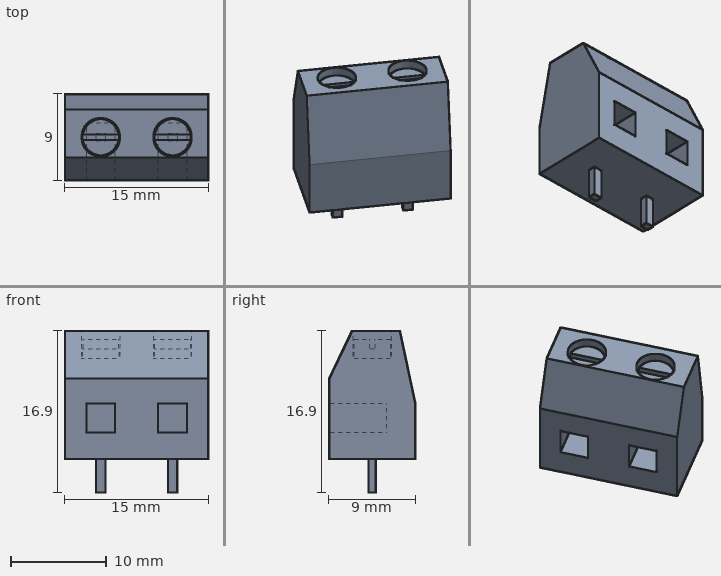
import cadquery as cq


POLE_COUNT = 2
POLE_PITCH = 7.5

HOUSING_LENGTH = POLE_COUNT * POLE_PITCH
HOUSING_DEPTH = 9.0
HOUSING_HEIGHT = 13.4
FRONT_SLOPE_RUN = 2.4
FRONT_SLOPE_DROP = 5.0
BACK_SLOPE_RUN = 1.6
BACK_SLOPE_DROP = 7.5

WIRE_OPENING_SIZE = 3.0
WIRE_OPENING_BOTTOM = 2.8
WIRE_OPENING_DEPTH = 6.0

WELL_DIAMETER = 4.0
SCREW_DIAMETER = 3.8
SCREW_HEIGHT = 2.0
SCREW_RECESS = 0.9
WELL_DEPTH = SCREW_RECESS + SCREW_HEIGHT
SLOT_WIDTH = 0.6
SLOT_DEPTH = 1.0

PIN_WIDTH = 1.0
PIN_THICKNESS = 0.8
PIN_LENGTH = 3.5

FRONT_Y = -HOUSING_DEPTH / 2
BACK_Y = HOUSING_DEPTH / 2
POLE_POSITIONS = [(i - (POLE_COUNT - 1) / 2) * POLE_PITCH for i in range(POLE_COUNT)]


def make_housing():
    """Sloped block with a screw well and a wire opening for each pole."""
    profile = [
        (FRONT_Y, 0),
        (BACK_Y, 0),
        (BACK_Y, HOUSING_HEIGHT - BACK_SLOPE_DROP),
        (BACK_Y - BACK_SLOPE_RUN, HOUSING_HEIGHT),
        (FRONT_Y + FRONT_SLOPE_RUN, HOUSING_HEIGHT),
        (FRONT_Y, HOUSING_HEIGHT - FRONT_SLOPE_DROP),
    ]
    block = cq.Workplane("YZ").polyline(profile).close().extrude(HOUSING_LENGTH / 2, both=True)
    for x in POLE_POSITIONS:
        block = block.cut(make_well(x)).cut(make_wire_opening(x))
    return block


def make_well(x):
    """Volume of the round well around one screw, open at the top."""
    floor = cq.Workplane("XY", origin=(x, 0, HOUSING_HEIGHT - WELL_DEPTH))
    return floor.circle(WELL_DIAMETER / 2).extrude(WELL_DEPTH)


def make_wire_opening(x):
    """Volume of one blind square wire opening, entering from the front face."""
    return cq.Workplane("XY", origin=(x, FRONT_Y, WIRE_OPENING_BOTTOM)).box(
        WIRE_OPENING_SIZE, WIRE_OPENING_DEPTH, WIRE_OPENING_SIZE, centered=(True, False, False)
    )


def make_screw(x):
    """Cylindrical screw with a driver slot along X across its top."""
    top_z = HOUSING_HEIGHT - SCREW_RECESS
    body = cq.Workplane("XY", origin=(x, 0, top_z - SCREW_HEIGHT))
    body = body.circle(SCREW_DIAMETER / 2).extrude(SCREW_HEIGHT)
    slot = cq.Workplane("XY", origin=(x, 0, top_z - SLOT_DEPTH)).box(
        SCREW_DIAMETER, SLOT_WIDTH, SLOT_DEPTH, centered=(True, True, False)
    )
    return body.cut(slot)


def make_pin(x):
    """Flat solder pin hanging from the underside of the housing."""
    return cq.Workplane("XY", origin=(x, 0, -PIN_LENGTH)).box(
        PIN_WIDTH, PIN_THICKNESS, PIN_LENGTH, centered=(True, True, False)
    )


housing = make_housing()
screws = [make_screw(x) for x in POLE_POSITIONS]
pins = [make_pin(x) for x in POLE_POSITIONS]

result = cq.Compound.makeCompound([body.val() for body in [housing, *screws, *pins]])